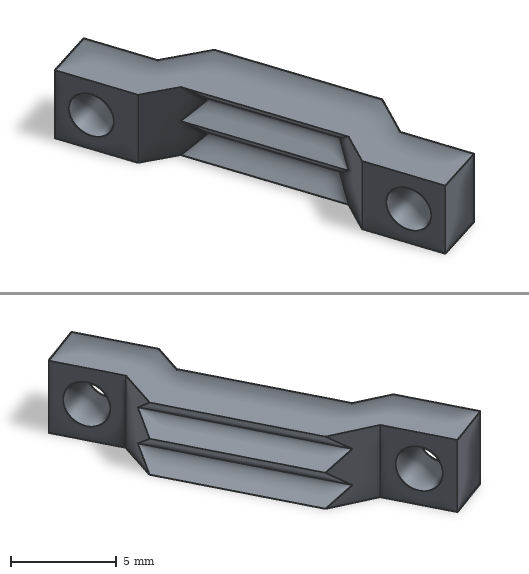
import cadquery as cq

length = 20.9
depth = 5.0
height = 3.95

block_depth = 2.99
recess_depth = 1.5
half_flat = 4.5
bridge_rise = depth - block_depth

groove_count = 2
groove_pitch = height / groove_count
groove_depth = groove_pitch / 2

hole_diameter = 2.4
hole_spacing = 17.0


def trapezoid(half_width, y_wide, y_narrow):
    """Full-height prism narrowing at 45 degrees from y_wide to y_narrow."""
    narrow_half = half_width - abs(y_narrow - y_wide)
    points = [
        (-half_width, y_wide),
        (half_width, y_wide),
        (narrow_half, y_narrow),
        (-narrow_half, y_narrow),
    ]
    return cq.Workplane("XY").polyline(points).close().extrude(height)


def groove_prism(index, y_mouth, y_root):
    """V groove spanning the length, open at y_mouth and pointed at y_root."""
    bottom = index * groove_pitch
    points = [
        (y_mouth, bottom),
        (y_root, bottom + groove_pitch / 2),
        (y_mouth, bottom + groove_pitch),
    ]
    profile = cq.Workplane("YZ", origin=(-length / 2, 0, 0)).polyline(points)
    return profile.close().extrude(length)


bar = cq.Workplane("XY").box(length, block_depth, height, centered=(True, False, False))
body = bar.union(trapezoid(half_flat + bridge_rise, block_depth, depth))

recess_half = half_flat + recess_depth
body = body.cut(trapezoid(recess_half, 0, recess_depth))

groove_root = recess_depth + groove_depth
groove_limit = trapezoid(recess_half, 0, groove_root)
for index in range(groove_count):
    body = body.cut(groove_prism(index, recess_depth, groove_root).intersect(groove_limit))
    body = body.cut(groove_prism(index, depth, depth - groove_depth))

holes = (
    cq.Workplane("XZ", origin=(0, block_depth, height / 2))
    .pushPoints([(-hole_spacing / 2, 0), (hole_spacing / 2, 0)])
    .circle(hole_diameter / 2)
    .extrude(block_depth)
)
result = body.cut(holes)